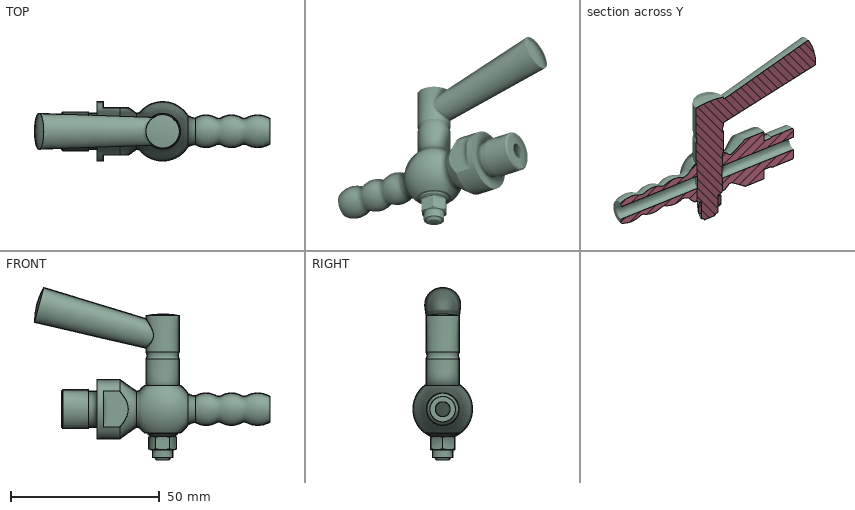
import cadquery as cq
import math


ball_r = 20.0 / 2
ball_flat_z = 8.0
plug_r = 5.0
flow_bore_r = 5.0 / 2

inlet_end_x = -33.95
thread_r = 6.6
thread_chamfer = 0.5
relief_start_x = -24.9
neck_r = 6.1
collar_start_x = -22.1
collar_end_x = -14.4
cone_end_x = -8.9
neck_end_x = -7.75
neck_end_r = math.sqrt(ball_r**2 - neck_end_x**2)
wrench_start_x = -19.95
wrench_half_width = 8.0

tail_start_x = 8.5
tail_start_r = math.sqrt(ball_r**2 - tail_start_x**2)
tail_bend_r = 4.7
first_barb_x = 11.1
barb_length = 7.0
barb_pitch = 8.55
barb_count = 3
barb_root_r = 4.5
barb_peak_r = 11.0 / 2
valley_r = 4.35
tail_end_x = 36.1
tail_end_r = 4.3

stem_r = 5.6
groove_bottom_z = 16.85
groove_top_z = 19.2
groove_r = 5.3
stem_top_z = 31.4
stem_dome = 0.55
plug_shoulder_z = -8.4
plug_cone_r = 3.95
stud_r = 6.9 / 2
stud_step_z = -16.3
stud_tip_z = -17.1
tip_base_r = 5.3 / 2
tip_end_r = 2.1

lever_axis_z = 23.9
lever_tilt = 15
lever_length = 43.0
lever_root_r = 4.6
lever_end_r = 12.1 / 2
lever_dome = 0.8

nut_top_z = -9.0
nut_bottom_z = -13.7
nut_across_corners = 9.35
nut_face_r = 3.9
nut_chamfer_height = 0.4


def revolve_about_x(profile):
    """Revolve a closed XY profile about the X axis."""
    return profile.close().revolve(360, (0, 0, 0), (1, 0, 0))


def revolve_about_z(profile):
    """Revolve a closed XZ profile about the Z axis."""
    return profile.close().revolve(360, (0, 0, 0), (0, 1, 0))


def make_ball():
    ball = cq.Workplane("XY").sphere(ball_r)
    flats = cq.Workplane("XY").box(2 * ball_r, 2 * ball_r, 2 * ball_flat_z)
    return ball.intersect(flats)


def make_inlet():
    neck_mid_x = (cone_end_x + neck_end_x) / 2
    inlet = revolve_about_x(
        cq.Workplane("XY")
        .moveTo(inlet_end_x, 0)
        .lineTo(inlet_end_x, thread_r - thread_chamfer)
        .lineTo(inlet_end_x + thread_chamfer, thread_r)
        .lineTo(relief_start_x, thread_r)
        .lineTo(relief_start_x, neck_r)
        .lineTo(collar_start_x, neck_r)
        .lineTo(collar_start_x, ball_r)
        .lineTo(collar_end_x, ball_r)
        .lineTo(cone_end_x, neck_r)
        .threePointArc((neck_mid_x, neck_r), (neck_end_x, neck_end_r))
        .lineTo(0, neck_end_r)
        .lineTo(0, 0)
    )
    flat_length = cone_end_x - wrench_start_x
    flat_depth = ball_r - wrench_half_width
    for side in (-1, 1):
        cutter = cq.Workplane("XY").box(flat_length, flat_depth, 2 * ball_r).translate(
            (wrench_start_x + flat_length / 2, side * (wrench_half_width + flat_depth / 2), 0)
        )
        inlet = inlet.cut(cutter)
    return inlet


def make_hose_tail():
    root_bend_x = (tail_start_x + first_barb_x) / 2
    profile = (
        cq.Workplane("XY")
        .lineTo(0, tail_start_r)
        .lineTo(tail_start_x, tail_start_r)
        .threePointArc((root_bend_x, tail_bend_r), (first_barb_x, barb_root_r))
    )
    for i in range(barb_count):
        start_x = first_barb_x + i * barb_pitch
        peak = (start_x + barb_length / 2, barb_peak_r)
        if i == barb_count - 1:
            profile = profile.threePointArc(peak, (tail_end_x, tail_end_r))
        else:
            end_x = start_x + barb_length
            next_x = start_x + barb_pitch
            profile = profile.threePointArc(peak, (end_x, barb_root_r))
            profile = profile.threePointArc(((end_x + next_x) / 2, valley_r), (next_x, barb_root_r))
    return revolve_about_x(profile.lineTo(tail_end_x, 0))


def make_housing():
    body = make_ball().union(make_inlet()).union(make_hose_tail())
    plug_bore = cq.Workplane("XY").circle(plug_r).extrude(2 * ball_r).translate((0, 0, -ball_r))
    flow_bore = (
        cq.Workplane("YZ", origin=(inlet_end_x, 0, 0))
        .circle(flow_bore_r)
        .extrude(tail_end_x - inlet_end_x)
    )
    return body.cut(plug_bore).cut(flow_bore)


def make_stem():
    dome_mid_r = stem_r / 2
    dome_sphere_r = (stem_r**2 + stem_dome**2) / (2 * stem_dome)
    dome_centre_z = stem_top_z + stem_dome - dome_sphere_r
    dome_mid_z = dome_centre_z + math.sqrt(dome_sphere_r**2 - dome_mid_r**2)
    return revolve_about_z(
        cq.Workplane("XZ")
        .moveTo(0, stud_tip_z)
        .lineTo(tip_end_r, stud_tip_z)
        .lineTo(tip_base_r, stud_step_z)
        .lineTo(stud_r, stud_step_z)
        .lineTo(stud_r, nut_top_z)
        .lineTo(plug_cone_r, nut_top_z)
        .lineTo(plug_r, plug_shoulder_z)
        .lineTo(plug_r, ball_flat_z)
        .lineTo(stem_r, ball_flat_z)
        .lineTo(stem_r, groove_bottom_z)
        .threePointArc((groove_r, (groove_bottom_z + groove_top_z) / 2), (stem_r, groove_top_z))
        .lineTo(stem_r, stem_top_z)
        .threePointArc((dome_mid_r, dome_mid_z), (0, stem_top_z + stem_dome))
    )


def make_lever():
    """Tapered lever with a domed end, built along Z and then tilted toward -X."""
    dome_mid_r = lever_end_r / 2
    dome_sphere_r = (lever_end_r**2 + lever_dome**2) / (2 * lever_dome)
    dome_centre_z = lever_length + lever_dome - dome_sphere_r
    dome_mid_z = dome_centre_z + math.sqrt(dome_sphere_r**2 - dome_mid_r**2)
    lever = revolve_about_z(
        cq.Workplane("XZ")
        .lineTo(lever_root_r, 0)
        .lineTo(lever_end_r, lever_length)
        .threePointArc((dome_mid_r, dome_mid_z), (0, lever_length + lever_dome))
    )
    tilted = lever.rotate((0, 0, 0), (0, 1, 0), lever_tilt - 90)
    return tilted.translate((0, 0, lever_axis_z))


def make_plug():
    return make_stem().union(make_lever())


def make_nut():
    hexagon = (
        cq.Workplane("XY", origin=(0, 0, nut_bottom_z))
        .polygon(6, nut_across_corners)
        .extrude(nut_top_z - nut_bottom_z)
    )
    corner_r = nut_across_corners / 2
    envelope = revolve_about_z(
        cq.Workplane("XZ")
        .moveTo(0, nut_bottom_z)
        .lineTo(nut_face_r, nut_bottom_z)
        .lineTo(corner_r, nut_bottom_z + nut_chamfer_height)
        .lineTo(corner_r, nut_top_z - nut_chamfer_height)
        .lineTo(nut_face_r, nut_top_z)
        .lineTo(0, nut_top_z)
    )
    bore = (
        cq.Workplane("XY", origin=(0, 0, nut_bottom_z))
        .circle(stud_r)
        .extrude(nut_top_z - nut_bottom_z)
    )
    return hexagon.intersect(envelope).cut(bore)


housing = make_housing()
plug = make_plug()
nut = make_nut()

result = cq.Compound.makeCompound([housing.val(), plug.val(), nut.val()])